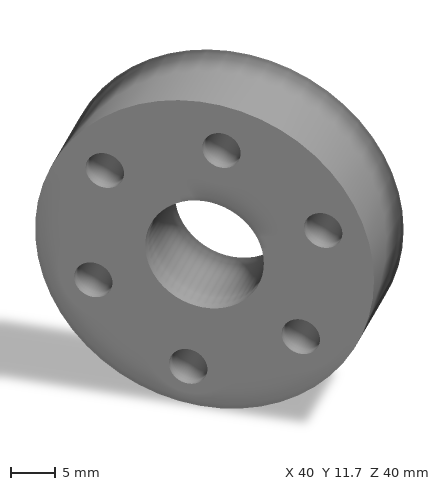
import cadquery as cq

disc_diameter = 39.95
thickness = 11.7
bore_diameter = 14.0
bolt_hole_diameter = 4.5

bolt_hole_centres = [
    (14.0, 5.5),
    (2.0, 14.0),
    (-11.75, 9.05),
    (-13.1, -5.55),
    (-1.9, -15.02),
    (11.35, -8.87),
]


def axial_cylinder(diameter, x=0.0, z=0.0):
    """Cylinder along Y, as long as the disc is thick and centred on it."""
    return (
        cq.Workplane("XZ", origin=(0, thickness / 2, 0))
        .center(x, z)
        .circle(diameter / 2)
        .extrude(thickness)
    )


result = axial_cylinder(disc_diameter).cut(axial_cylinder(bore_diameter))

for hole_x, hole_z in bolt_hole_centres:
    result = result.cut(axial_cylinder(bolt_hole_diameter, hole_x, hole_z))